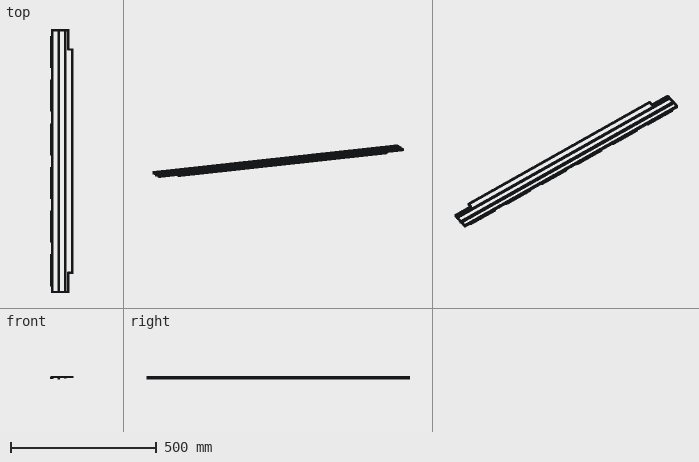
import cadquery as cq

LENGTH = 900.0
WIDTH = 73.0
HEIGHT = 6.09

PLATE_LEFT = 3.0
PLATE_THICKNESS = 1.5
END_WIDTH = 59.0
NOTCH_LENGTH = 66.0

WALL_SETBACK = 0.2
WALL_RIGHT = 5.0
WALL_DEPTH = 4.0

RIB_WIDTH = 2.0
TALL_RIB_LEFT = 25.0
TALL_RIB_CHAMFER = 0.5
LOW_RIB_LEFT = 48.0
LOW_RIB_DEPTH = 2.5

TAB_COUNT = 6
TAB_PITCH = LENGTH / TAB_COUNT
TAB_LENGTH = 103.5
TAB_THICKNESS = 1.5


def block(x_range, y_range, z_range):
    """Box given by its lower and upper limits along each axis."""
    lows, highs = zip(x_range, y_range, z_range)
    sizes = [high - low for low, high in zip(lows, highs)]
    return cq.Workplane("XY").box(*sizes, centered=False).translate(lows)


def make_plate():
    """Flat plate with both right corners notched."""
    thickness = (-PLATE_THICKNESS, 0)
    plate = block((PLATE_LEFT, WIDTH), (0, LENGTH), thickness)
    for start in (0, LENGTH - NOTCH_LENGTH):
        plate = plate.cut(block((END_WIDTH, WIDTH), (start, start + NOTCH_LENGTH), thickness))
    return plate


def make_strip(left, right, depth):
    """Full-length strip reaching from the top face down to a depth."""
    return block((left, right), (0, LENGTH), (-depth, 0))


def make_tall_rib():
    """Deepest rib, with a chamfer along both lower edges."""
    rib = make_strip(TALL_RIB_LEFT, TALL_RIB_LEFT + RIB_WIDTH, HEIGHT)
    return rib.faces("<Z").edges("|Y").chamfer(TALL_RIB_CHAMFER)


def make_tab(index):
    """Tab from the outer edge to the inside of the wall, flush with the wall's lower face."""
    centre = (index + 0.5) * TAB_PITCH
    y_range = (centre - TAB_LENGTH / 2, centre + TAB_LENGTH / 2)
    return block((0, WALL_RIGHT), y_range, (-WALL_DEPTH, TAB_THICKNESS - WALL_DEPTH))


result = make_plate()
result = result.union(make_strip(PLATE_LEFT + WALL_SETBACK, WALL_RIGHT, WALL_DEPTH))
result = result.union(make_tall_rib())
result = result.union(make_strip(LOW_RIB_LEFT, LOW_RIB_LEFT + RIB_WIDTH, LOW_RIB_DEPTH))
for index in range(TAB_COUNT):
    result = result.union(make_tab(index))